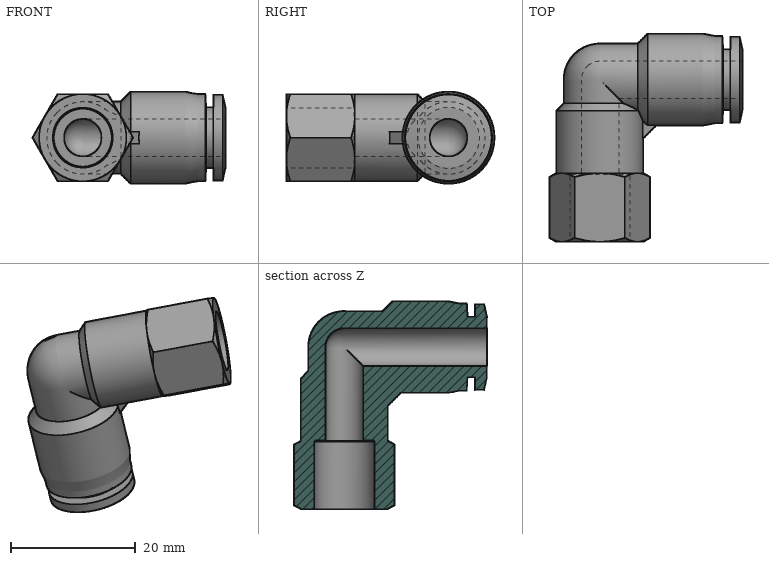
import cadquery as cq
import math


neck_radius = 5.8
passage_radius = 3.0

collar_radius = 7.398
collar_start = 6.08
collar_shoulder = collar_start + collar_radius - neck_radius
taper_start = 16.5
taper_end = 18.5
rim_radius = 7.0
collar_end = 19.67
groove_start = 19.8
groove_radius = 4.9
flange_start = 20.95
flange_radius = 6.9
flange_edge = 22.45
tube_end = 22.9
end_face_radius = 4.8

thread_end = 33.4 - collar_radius
hex_circumradius = 8.08
hex_inradius = hex_circumradius * math.cos(math.pi / 6)
hex_start = 15.0
sleeve_radius = hex_inradius
sleeve_start = 3.8
sleeve_shoulder = sleeve_start + sleeve_radius - neck_radius
hex_chamfer = (hex_circumradius - hex_inradius) * math.tan(math.pi / 6)

bore_radius = 4.8
bore_floor_radius = 4.65
bore_depth = thread_end - hex_start
bore_floor_chamfer = bore_radius - bore_floor_radius

gusset_leg = 16.4
gusset_thickness = 1.95


def revolve_x(profile):
    """Revolve (distance, radius) points, closed along the axis, about X."""
    first, last = profile[0][0], profile[-1][0]
    points = [(first, 0)] + profile + [(last, 0)]
    return cq.Workplane("XY").polyline(points).close().revolve(360, (0, 0, 0), (1, 0, 0))


def revolve_y(profile):
    """Same as revolve_x, with the distances running along -Y."""
    return revolve_x(profile).rotate((0, 0, 0), (0, 0, 1), -90)


def make_tube_arm():
    return revolve_x([
        (0, neck_radius),
        (collar_start, neck_radius),
        (collar_shoulder, collar_radius),
        (taper_start, collar_radius),
        (taper_end, rim_radius),
        (collar_end, rim_radius),
        (groove_start, groove_radius),
        (flange_start, groove_radius),
        (flange_start, flange_radius),
        (flange_edge, flange_radius),
        (tube_end, end_face_radius),
    ])


def make_sleeve():
    return revolve_y([
        (0, neck_radius),
        (sleeve_start, neck_radius),
        (sleeve_shoulder, sleeve_radius),
        (hex_start, sleeve_radius),
    ])


def make_hex():
    prism = (
        cq.Workplane("XZ", origin=(0, -hex_start, 0))
        .polygon(6, 2 * hex_circumradius)
        .extrude(thread_end - hex_start)
    )
    chamfer_envelope = revolve_y([
        (hex_start, hex_inradius),
        (hex_start + hex_chamfer, hex_circumradius),
        (thread_end - hex_chamfer, hex_circumradius),
        (thread_end, hex_inradius),
    ])
    return prism.intersect(chamfer_envelope)


def make_gusset():
    return (
        cq.Workplane("XY")
        .polyline([(0, 0), (gusset_leg, 0), (0, -gusset_leg)])
        .close()
        .extrude(gusset_thickness / 2, both=True)
    )


def make_passage():
    """Rounded elbow passage, open at the tube end and joined to the threaded bore."""
    bore_floor = thread_end - bore_depth
    corner = cq.Workplane("XY").sphere(passage_radius)
    tube_side = revolve_x([(0, passage_radius), (tube_end, passage_radius)])
    thread_side = revolve_y([
        (0, passage_radius),
        (bore_floor, passage_radius),
        (bore_floor, bore_floor_radius),
        (bore_floor + bore_floor_chamfer, bore_radius),
        (thread_end, bore_radius),
    ])
    return corner.union(tube_side).union(thread_side)


elbow = cq.Workplane("XY").sphere(neck_radius)
body = elbow.union(make_tube_arm()).union(make_sleeve()).union(make_hex()).union(make_gusset())
result = body.cut(make_passage())